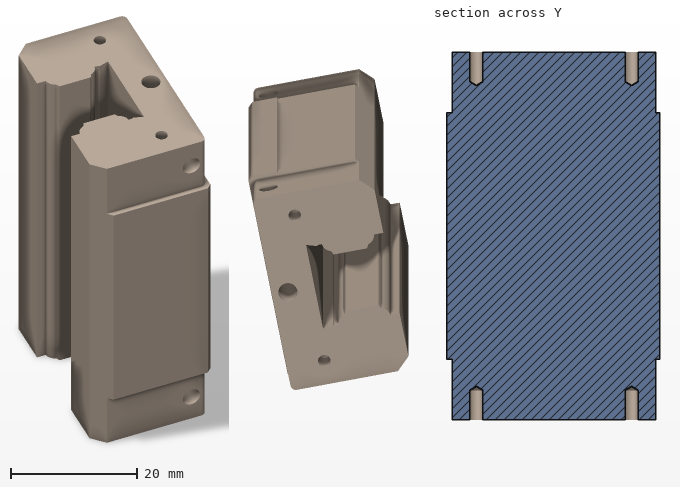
import cadquery as cq
import math

LENGTH = 58.2
WIDTH = 34.0
HEIGHT = 19.9
TOP_Y = HEIGHT / 2
BOTTOM_Y = -HEIGHT / 2

CAP_LENGTH = 9.55
BODY_LENGTH = LENGTH - 2 * CAP_LENGTH
BODY_TOP_CHAMFER = 0.75
RELIEF_DEPTH = 0.25
RELIEF_RISE = 0.2
RELIEF_Y = 5.05
FOOT_HALF_WIDTH = 14.1

CAP_HALF_WIDTH = 16.2
CAP_TOP_Y = 9.3
CAP_CORNER_RADIUS = 0.9

SLOT_TOP_Y = 2.45
SLOT_TOP_HALF = 7.15
LEDGE_HALF = 6.65
LEDGE_Y = 0.75
LEDGE_UNDERSIDE_Y = 0.65
LIP_HALF = 6.8
BEAD_HALF = 5.4
NOSE_HALF = 4.8
BEAD_DIAMETER = 3.2

NOSE_CENTRE_Y = -4.25
NOSE_HALF_HEIGHT = 2.7
BEAD_INNER_OFFSET = 3.0
BEAD_OUTER_OFFSET = 4.2

PORT_Y = 6.75
PORT_DIAMETER = 3.0
CROSS_PORT_INSET = 4.55
SCREW_X = 12.3
SCREW_Y = 3.25
SCREW_DIAMETER = 2.0
SCREW_DEPTH = 4.65
DRILL_POINT_ANGLE = 118.0


def carriage():
    """Middle block: chamfered outline with a shallow relief on the -X side."""
    half = WIDTH / 2
    relief_x = half - RELIEF_DEPTH
    outline = [
        (-FOOT_HALF_WIDTH, BOTTOM_Y),
        (-relief_x, BOTTOM_Y + relief_x - FOOT_HALF_WIDTH),
        (-relief_x, RELIEF_Y),
        (-half, RELIEF_Y + RELIEF_RISE),
        (-half, TOP_Y - BODY_TOP_CHAMFER),
        (-half + BODY_TOP_CHAMFER, TOP_Y),
        (half - BODY_TOP_CHAMFER, TOP_Y),
        (half, TOP_Y - BODY_TOP_CHAMFER),
        (half, BOTTOM_Y + half - FOOT_HALF_WIDTH),
        (FOOT_HALF_WIDTH, BOTTOM_Y),
    ]
    block = cq.Workplane("XY").polyline(outline).close().extrude(BODY_LENGTH)
    return block.translate((0, 0, -BODY_LENGTH / 2))


def end_caps():
    """Full-length core whose two ends stand out of the carriage as end caps."""
    core = (
        cq.Workplane("XY")
        .box(2 * CAP_HALF_WIDTH, CAP_TOP_Y - BOTTOM_Y, LENGTH)
        .translate((0, (CAP_TOP_Y + BOTTOM_Y) / 2, 0))
    )
    core = core.edges("|Z and >Y").fillet(CAP_CORNER_RADIUS)
    return core.edges("|Z and <Y").chamfer(CAP_HALF_WIDTH - FOOT_HALF_WIDTH)


def half_slot():
    """+X half of the rail slot, with convex beads above and below the nose."""
    profile = (
        cq.Workplane("XY")
        .moveTo(0, SLOT_TOP_Y)
        .lineTo(SLOT_TOP_HALF, SLOT_TOP_Y)
        .lineTo(LEDGE_HALF, LEDGE_Y)
        .lineTo(LIP_HALF, LEDGE_UNDERSIDE_Y)
        .lineTo(LIP_HALF, NOSE_CENTRE_Y + BEAD_OUTER_OFFSET)
        .radiusArc((BEAD_HALF, NOSE_CENTRE_Y + BEAD_INNER_OFFSET), -BEAD_DIAMETER / 2)
        .lineTo(NOSE_HALF, NOSE_CENTRE_Y + NOSE_HALF_HEIGHT)
        .lineTo(NOSE_HALF, NOSE_CENTRE_Y - NOSE_HALF_HEIGHT)
        .lineTo(BEAD_HALF, NOSE_CENTRE_Y - BEAD_INNER_OFFSET)
        .radiusArc((LIP_HALF, NOSE_CENTRE_Y - BEAD_OUTER_OFFSET), -BEAD_DIAMETER / 2)
        .lineTo(LIP_HALF, BOTTOM_Y)
        .lineTo(0, BOTTOM_Y)
        .close()
    )
    return profile.extrude(LENGTH).translate((0, 0, -LENGTH / 2))


def screw_hole(x):
    """Blind hole with a drill-point bottom, sunk from the +Z end."""
    radius = SCREW_DIAMETER / 2
    point_depth = radius / math.tan(math.radians(DRILL_POINT_ANGLE / 2))
    section = [
        (0, 0),
        (radius, 0),
        (radius, -SCREW_DEPTH),
        (0, -SCREW_DEPTH - point_depth),
    ]
    hole = cq.Workplane("XZ").polyline(section).close().revolve(360, (0, 0, 0), (0, 1, 0))
    return hole.translate((x, SCREW_Y, LENGTH / 2))


def upper_cap_holes():
    """Through cross port, the end port that meets it, and two screw holes."""
    cross_z = LENGTH / 2 - CROSS_PORT_INSET
    cross_port = (
        cq.Workplane("YZ")
        .center(PORT_Y, cross_z)
        .circle(PORT_DIAMETER / 2)
        .extrude(WIDTH / 2, both=True)
    )
    end_port = (
        cq.Workplane("XY", origin=(0, PORT_Y, cross_z))
        .circle(PORT_DIAMETER / 2)
        .extrude(CROSS_PORT_INSET)
    )
    holes = cross_port.union(end_port)
    for x in (-SCREW_X, SCREW_X):
        holes = holes.union(screw_hole(x))
    return holes


result = carriage().union(end_caps())

slot = half_slot()
result = result.cut(slot).cut(slot.mirror("YZ"))

cap_holes = upper_cap_holes()
result = result.cut(cap_holes).cut(cap_holes.mirror("XY"))